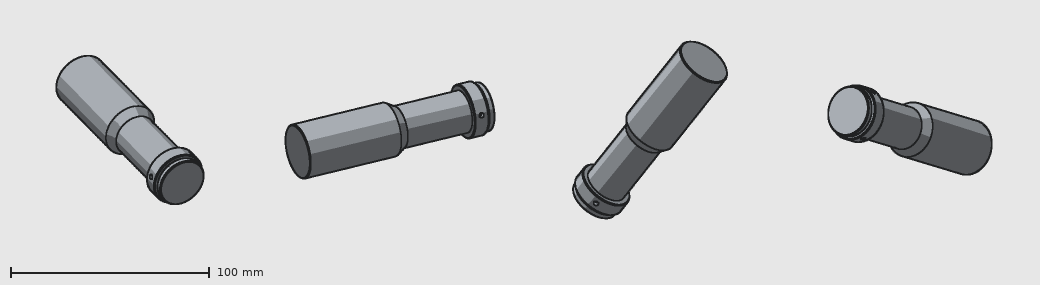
import cadquery as cq
import math

overall_length = 105.0
cone_end_x = 56.7
collar_start_x = 93.0
collar_end_x = 101.0
flange_start_x = 102.0

body_radius = 14.0
neck_radius = 11.0
collar_radius = body_radius
groove_radius = 12.0
flange_radius = 25.4 / 2

cone_half_angle = 30.0
cone_length = (body_radius - neck_radius) / math.tan(math.radians(cone_half_angle))
cone_start_x = cone_end_x - cone_length

body_chamfer = 0.5
collar_chamfer = 0.5
flange_chamfer = 0.5

screw_hole_count = 3
screw_hole_diameter = 2.5
screw_hole_depth = 3.0
drill_point_angle = 118.0
first_hole_angle = 45.5
screw_hole_x = (collar_start_x + collar_end_x) / 2


def turned_section(start_x, end_x, radius):
    """Cylinder on the X axis between two stations."""
    return cq.Workplane("YZ", origin=(start_x, 0, 0)).circle(radius).extrude(end_x - start_x)


def make_body():
    """Large plain cylinder with a chamfered outer end."""
    return turned_section(0, cone_start_x, body_radius).faces("<X").chamfer(body_chamfer)


def make_cone():
    """Conical step from the body down to the neck."""
    base = cq.Workplane("YZ", origin=(cone_start_x, 0, 0)).circle(body_radius)
    return base.workplane(offset=cone_length).circle(neck_radius).loft()


def make_collar():
    """Collar at the end of the neck, chamfered on both rims."""
    collar = turned_section(collar_start_x, collar_end_x, collar_radius)
    return collar.faces("<X or >X").chamfer(collar_chamfer)


def make_flange():
    """End flange with a chamfered outer rim."""
    return turned_section(flange_start_x, overall_length, flange_radius).faces(">X").chamfer(flange_chamfer)


def make_screw_hole(angle):
    """Blind radial cutter with a drill point, entering at an angle from +Y towards +Z."""
    radius = screw_hole_diameter / 2
    point_length = radius / math.tan(math.radians(drill_point_angle / 2))
    inward = cq.Vector(0, -math.cos(math.radians(angle)), -math.sin(math.radians(angle)))
    entry = cq.Vector(screw_hole_x, 0, 0) - inward * collar_radius
    shoulder = entry + inward * screw_hole_depth
    shaft = cq.Solid.makeCylinder(radius, screw_hole_depth, entry, inward)
    point = cq.Solid.makeCone(radius, 0, point_length, shoulder, inward)
    return shaft.fuse(point)


neck = turned_section(cone_end_x, collar_start_x, neck_radius)
groove = turned_section(collar_end_x, flange_start_x, groove_radius)

result = make_body()
for section in (make_cone(), neck, make_collar(), groove, make_flange()):
    result = result.union(section)

for index in range(screw_hole_count):
    result = result.cut(make_screw_hole(first_hole_angle + index * 360 / screw_hole_count))